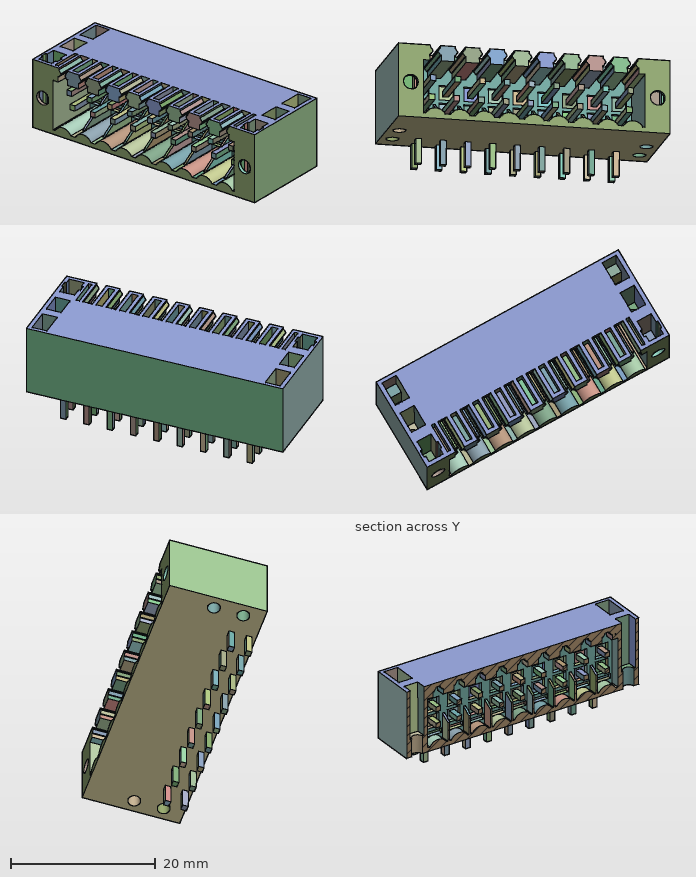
import cadquery as cq


length = 38.5
depth = 14.2
height = 10.5
poles = 9
pitch = length / (poles + 2)
pole_places = [(i - (poles - 1) / 2) * pitch for i in range(poles)]
gap_places = [x + pitch / 2 for x in pole_places[:-1]]

cavity_half = 15.7
cavity_floor = 0.7
cavity_roof = 8.3
cavity_depth = 8.47

ridge_half = 1.4
ridge_rise = 0.8

fin_width = 0.35
fin_start = 2.4
fin_top = 4.5

keyway_depth = 5.0
keyway_half = 0.8
keyway_ledge_half = 0.7
keyway_waist_half = 0.365
keyway_top_half = 0.712
keyway_ledge = 9.15
keyway_waist_low = 9.6
keyway_waist = 9.75
keyway_lip = 10.25

rib_slot_width = 0.92
end_slot_width = 0.5
rib_slot_depth = 1.6
front_wall = 0.58

pin_size = 0.8
lower_pin_tip = 2.2
upper_pin_tip = 1.45
pin_length = 3.5
pin_row_spacing = 2.55
lower_row = 3.75
front_row = 10.63

pin_rows = [
    (lower_row, front_row, lower_pin_tip),
    (lower_row + pin_row_spacing, front_row + pin_row_spacing, upper_pin_tip),
]

recess_depth = 0.58
pin_recess_size = 2.08
key_recess_width = 2.93
key_recess_height = 0.7

end_place = (poles + 1) / 2 * pitch
pocket_width = 2.25
pocket_depth = 7.7
front_pocket_back = 3.93
wing_width = 2.77
wing_front = 1.5
wing_back = 2.55
middle_pocket_front = 5.45
middle_pocket_back = 8.65
rear_pocket_front = 9.97
rear_pocket_back = 13.65
rear_shelf_front = 12.25
rear_shelf_depth = 3.85
wall_lean = 0.095
peg_hole_size = 1.77
peg_hole_places = [7.0, 11.28]
screw_hole_size = 2.08
screw_hole_height = 5.05


def block(x_range, y_range, z_range):
    """A box between the given limits."""
    spans = [end - start for start, end in (x_range, y_range, z_range)]
    corner = (x_range[0], y_range[0], z_range[0])
    return cq.Workplane("XY").box(*spans, centered=False).translate(corner)


def about(middle, size):
    """The limits of a span centred on a place."""
    return (middle - size / 2, middle + size / 2)


def front_profile():
    """A sketch plane on the front face, whose extrusions run towards the back."""
    return cq.Workplane("XZ")


def side_prism(points, x_middle, width):
    """A prism across X from an outline in Y and Z."""
    start = x_middle - width / 2
    return cq.Workplane("YZ", origin=(start, 0, 0)).polyline(points).close().extrude(width)


def floor_ridge(x):
    return (
        front_profile()
        .moveTo(x - ridge_half, cavity_floor)
        .threePointArc((x, cavity_floor + ridge_rise), (x + ridge_half, cavity_floor))
        .close()
        .extrude(-cavity_depth)
    )


def fin(x):
    outline = [
        (fin_start, cavity_floor),
        (cavity_depth, cavity_floor),
        (cavity_depth, fin_top),
    ]
    return side_prism(outline, x, fin_width)


def keyway(x):
    """An hourglass groove whose part below the waist runs on to the cavity's back wall."""
    lower_half = [
        (keyway_half, cavity_roof),
        (keyway_half, keyway_ledge),
        (keyway_ledge_half, keyway_ledge),
        (keyway_waist_half, keyway_waist_low),
        (keyway_waist_half, keyway_waist),
    ]
    upper_half = [
        (keyway_waist_half, keyway_waist),
        (keyway_top_half, keyway_lip),
        (keyway_top_half, height),
    ]

    def groove(half, run):
        right = [(x + dx, z) for dx, z in half]
        left = [(x - dx, z) for dx, z in reversed(half)]
        return front_profile().polyline(right + left).close().extrude(-run)

    return groove(lower_half, cavity_depth).union(groove(upper_half, keyway_depth))


def rib_slots():
    y_range = (front_wall, keyway_depth)
    z_range = (height - rib_slot_depth, height)
    spans = [about(x, rib_slot_width) for x in gap_places]
    spans.append((cavity_half - end_slot_width, cavity_half))
    spans.append((-cavity_half, end_slot_width - cavity_half))
    return [block(span, y_range, z_range) for span in spans]


def back_wall_recesses(x):
    y_range = (cavity_depth, cavity_depth + recess_depth)
    ridge_top = cavity_floor + ridge_rise
    z_range = (ridge_top, ridge_top + key_recess_height)
    recesses = [block(about(x, key_recess_width), y_range, z_range)]
    for z, _, _ in pin_rows:
        recesses.append(block(about(x, pin_recess_size), y_range, about(z, pin_recess_size)))
    return recesses


def pins(x):
    """Two right-angle pins: a leg forward into the cavity and a leg down out of the housing."""
    legs = []
    for z, y, tip in pin_rows:
        legs.append(block(about(x, pin_size), (tip, y), about(z, pin_size)))
        legs.append(block(about(x, pin_size), about(y, pin_size), (-pin_length, z)))
    return legs


def end_block_cuts(x):
    pocket_span = about(x, pocket_width)
    pocket_floor = height - pocket_depth
    z_range = (pocket_floor, height)
    cuts = [
        block(pocket_span, (front_wall, front_pocket_back), z_range),
        block(about(x, wing_width), (wing_front, wing_back), z_range),
    ]
    middle_outline = [
        (middle_pocket_front, pocket_floor),
        (middle_pocket_front, height),
        (middle_pocket_back, height),
        (middle_pocket_back - wall_lean, pocket_floor),
    ]
    shelf = height - rear_shelf_depth
    rear_outline = [
        (rear_pocket_front, pocket_floor),
        (rear_pocket_front, height),
        (rear_pocket_back, height),
        (rear_pocket_back, shelf),
        (rear_shelf_front, shelf),
        (rear_shelf_front - wall_lean, pocket_floor),
    ]
    for outline in (middle_outline, rear_outline):
        cuts.append(side_prism(outline, x, pocket_width))
    for y in peg_hole_places:
        cuts.append(cq.Workplane("XY").center(x, y).circle(peg_hole_size / 2).extrude(height / 2))
    cuts.append(
        front_profile()
        .center(x, screw_hole_height)
        .circle(screw_hole_size / 2)
        .extrude(-(front_wall + wing_front) / 2)
    )
    return cuts


def cut_all(body, tools):
    for tool in tools:
        body = body.cut(tool)
    return body


def join_all(body, additions):
    for addition in additions:
        body = body.union(addition)
    return body


housing = block(about(0, length), (0, depth), (0, height))
housing = housing.cut(
    block((-cavity_half, cavity_half), (0, cavity_depth), (cavity_floor, cavity_roof))
)
housing = cut_all(housing, rib_slots())
for end in (-end_place, end_place):
    housing = cut_all(housing, end_block_cuts(end))
for place in pole_places:
    housing = housing.cut(keyway(place))
    housing = cut_all(housing, back_wall_recesses(place))
    housing = housing.union(floor_ridge(place))
    housing = join_all(housing, pins(place))
housing = join_all(housing, [fin(place) for place in gap_places])

result = housing